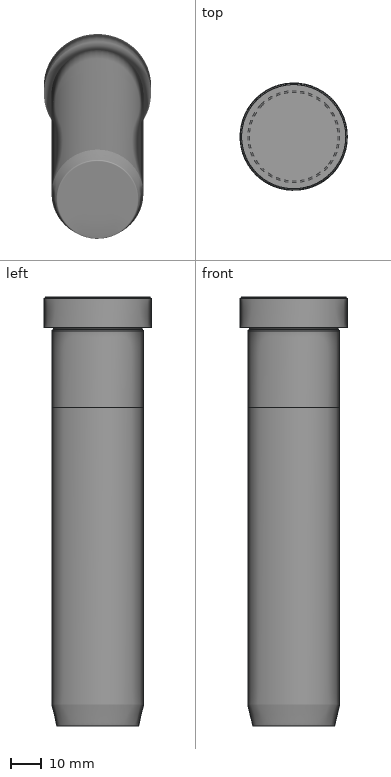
import cadquery as cq

total_length = 140.0
head_diameter = 35.0
shaft_diameter = 30.0

head_height = 10.0
head_chamfer = 0.5
upper_body_length = 36.0

groove_depth = 0.5
groove_straight = 0.5
groove_bevel = 0.5

taper_length = 7.0
tip_diameter = 26.6
tip_fillet = 0.4

head_radius = head_diameter / 2
shaft_radius = shaft_diameter / 2
groove_radius = shaft_radius - groove_depth
tip_radius = tip_diameter / 2
joint_z = total_length - upper_body_length
head_bottom_z = total_length - head_height
bevel_top_z = head_bottom_z - groove_straight
bevel_bottom_z = bevel_top_z - groove_bevel


def make_headed_shank():
    """Chamfered head, relief groove and the upper length of the shaft."""
    shank = (
        cq.Workplane("XZ")
        .moveTo(0, joint_z)
        .lineTo(shaft_radius, joint_z)
        .lineTo(shaft_radius, bevel_bottom_z)
        .lineTo(groove_radius, bevel_top_z)
        .lineTo(groove_radius, head_bottom_z)
        .lineTo(head_radius, head_bottom_z)
        .lineTo(head_radius, total_length)
        .lineTo(0, total_length)
        .close()
        .revolve(360, (0, 0, 0), (0, 1, 0))
    )
    return shank.faces(">Z").edges().chamfer(head_chamfer)


def make_guide_shaft():
    """Plain lower shaft with a tapered, rounded tip."""
    shaft = (
        cq.Workplane("XZ")
        .lineTo(tip_radius, 0)
        .lineTo(shaft_radius, taper_length)
        .lineTo(shaft_radius, joint_z)
        .lineTo(0, joint_z)
        .close()
        .revolve(360, (0, 0, 0), (0, 1, 0))
    )
    return shaft.faces("<Z").edges().fillet(tip_fillet)


headed_shank = make_headed_shank()
guide_shaft = make_guide_shaft()

result = cq.Compound.makeCompound([headed_shank.val(), guide_shaft.val()])